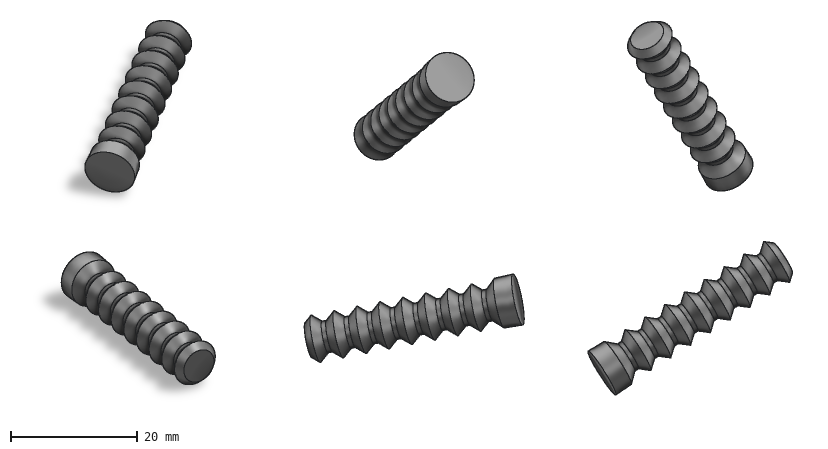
import cadquery as cq

length = 34.25

head_end_radius = 8.25 / 2
head_inner_radius = 4.05
head_length = 2.98
neck_length = 1.6

core_radius = 2.57
crest_radius = 3.85
rib_count = 8
first_crest = 6.82
rib_half_width = 1.5
tip_length = 1.2
tip_radius = crest_radius - (crest_radius - core_radius) * tip_length / rib_half_width
rib_pitch = (length - tip_length - first_crest) / (rib_count - 1)


def half_profile():
    """Points (radius, distance from the head face) from head to tip."""
    points = [
        (0, 0),
        (head_end_radius, 0),
        (head_inner_radius, head_length),
        (core_radius, head_length + neck_length),
    ]
    for index in range(rib_count):
        crest = first_crest + index * rib_pitch
        points.append((core_radius, crest - rib_half_width))
        points.append((crest_radius, crest))
        if index < rib_count - 1:
            points.append((core_radius, crest + rib_half_width))
    points.append((tip_radius, length))
    points.append((0, length))
    return points


result = (
    cq.Workplane("XY")
    .polyline(half_profile())
    .close()
    .revolve(360, (0, 0, 0), (0, 1, 0))
    .translate((0, -length / 2, 0))
)